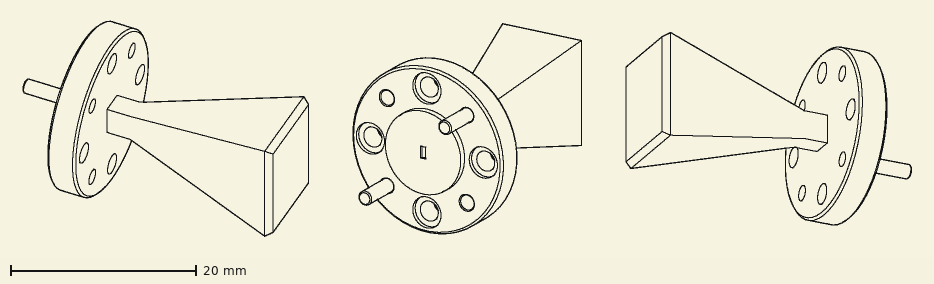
import cadquery as cq
import math

TOTAL_LENGTH = 29.27

FLANGE_DIAMETER = 19.05
FLANGE_FRONT_X = 4.62
FLANGE_THICKNESS = 3.35
FLANGE_CHAMFER = 0.25
FLANGE_BACK_X = FLANGE_FRONT_X + FLANGE_THICKNESS
BOSS_DIAMETER = 9.55
BOSS_HEIGHT = 0.8
BOSS_FRONT_X = FLANGE_FRONT_X - BOSS_HEIGHT

BOLT_CIRCLE_RADIUS = 7.15
SCREW_HOLE_DIAMETER = 2.28
COUNTERBORE_DIAMETER = 3.57
COUNTERBORE_DEPTH = 0.5
ALIGNMENT_HOLE_DIAMETER = 1.7
ALIGNMENT_HOLE_CHAMFER = 0.12
SCREW_ANGLES = (0, 90, 180, 270)
ALIGNMENT_ANGLES = (45, 225)
PIN_ANGLES = (135, 315)

WAVEGUIDE_WIDTH = 0.67
WAVEGUIDE_HEIGHT = 1.35
WAVEGUIDE_DEPTH = 0.3

PIN_DIAMETER = 1.6
PIN_CHAMFER = 0.15
PIN_HOLE_CHAMFER = 0.1

NECK_WIDTH = 2.58
NECK_HEIGHT = 3.28
NECK_LENGTH = 2.72
MOUTH_WIDTH = 9.98
MOUTH_HEIGHT = 12.12
RIM_LENGTH = 0.8
RIM_INSET = 0.47
NECK_END_X = FLANGE_BACK_X + NECK_LENGTH
RIM_X = TOTAL_LENGTH - RIM_LENGTH


def plane_at(x):
    """Section plane at x: local x is +Y, local y is +Z, normal is +X."""
    return cq.Workplane("YZ", origin=(x, 0, 0))


def bolt_circle_point(angle):
    """(Y, Z) of a point on the bolt circle, with the angle measured from +Y."""
    turn = math.radians(angle)
    return BOLT_CIRCLE_RADIUS * math.cos(turn), BOLT_CIRCLE_RADIUS * math.sin(turn)


def cylinder(x, diameter, length, center=(0, 0)):
    return plane_at(x).center(*center).circle(diameter / 2).extrude(length)


def screw_hole(angle):
    """Through hole with a shallow counterbore on the boss side."""
    center = bolt_circle_point(angle)
    through = cylinder(FLANGE_FRONT_X, SCREW_HOLE_DIAMETER, FLANGE_THICKNESS, center)
    counterbore = cylinder(FLANGE_FRONT_X, COUNTERBORE_DIAMETER, COUNTERBORE_DEPTH, center)
    return through.union(counterbore)


def chamfered_hole(angle, diameter, chamfer):
    """Through hole with a chamfered mouth on the boss side."""
    center = bolt_circle_point(angle)
    through = cylinder(FLANGE_FRONT_X, diameter, FLANGE_THICKNESS, center)
    mouth = (
        plane_at(FLANGE_FRONT_X).center(*center).circle(diameter / 2 + chamfer)
        .workplane(offset=chamfer).circle(diameter / 2).loft()
    )
    return through.union(mouth)


def make_flange():
    disc = cylinder(FLANGE_FRONT_X, FLANGE_DIAMETER, FLANGE_THICKNESS).edges().chamfer(FLANGE_CHAMFER)
    flange = disc.union(cylinder(BOSS_FRONT_X, BOSS_DIAMETER, BOSS_HEIGHT))
    for angle in SCREW_ANGLES:
        flange = flange.cut(screw_hole(angle))
    for angle in ALIGNMENT_ANGLES:
        flange = flange.cut(chamfered_hole(angle, ALIGNMENT_HOLE_DIAMETER, ALIGNMENT_HOLE_CHAMFER))
    for angle in PIN_ANGLES:
        flange = flange.cut(chamfered_hole(angle, PIN_DIAMETER, PIN_HOLE_CHAMFER))
    waveguide = plane_at(BOSS_FRONT_X).rect(WAVEGUIDE_WIDTH, WAVEGUIDE_HEIGHT).extrude(WAVEGUIDE_DEPTH)
    return flange.cut(waveguide)


def make_pin(angle):
    """Pin reaching from its chamfered tip to the back face of the flange."""
    pin = cylinder(0, PIN_DIAMETER, FLANGE_BACK_X, bolt_circle_point(angle))
    return pin.faces("<X").edges().chamfer(PIN_CHAMFER)


def make_horn():
    """Straight neck, flared pyramid and bevelled rim, joined into one solid."""
    neck = plane_at(FLANGE_BACK_X).rect(NECK_WIDTH, NECK_HEIGHT).extrude(NECK_LENGTH)
    flare = (
        plane_at(NECK_END_X).rect(NECK_WIDTH, NECK_HEIGHT)
        .workplane(offset=RIM_X - NECK_END_X).rect(MOUTH_WIDTH, MOUTH_HEIGHT).loft(ruled=True)
    )
    rim = (
        plane_at(RIM_X).rect(MOUTH_WIDTH, MOUTH_HEIGHT)
        .workplane(offset=RIM_LENGTH)
        .rect(MOUTH_WIDTH - 2 * RIM_INSET, MOUTH_HEIGHT - 2 * RIM_INSET).loft(ruled=True)
    )
    return neck.union(flare).union(rim)


flange = make_flange()
horn = make_horn()
pins = [make_pin(angle) for angle in PIN_ANGLES]

result = cq.Compound.makeCompound([flange.val(), horn.val(), *[pin.val() for pin in pins]])